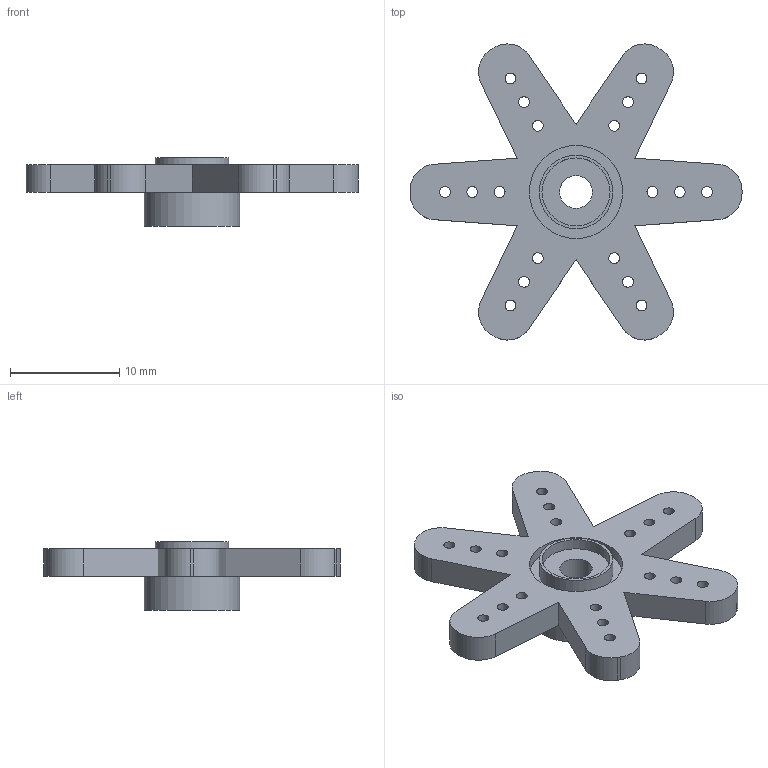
import cadquery as cq
import math


arm_count = 6
arm_pitch = 360 / arm_count
span = 30.4
tip_half_width = 2.375
tip_radius = 2.4
notch_radius = 6.2
plate_thickness = 2.55

hole_diameter = 1.0
first_hole_radius = 7.0
hole_spacing = 2.5
holes_per_arm = 3

total_height = 6.23
boss_diameter = 8.73
boss_height = 3.08
collar_outer_diameter = 6.73
collar_inner_diameter = 6.23
collar_height = total_height - boss_height - plate_thickness
recess_diameter = 8.53
recess_depth = 1.0
collar_floor_depth = 0.43
bore_diameter = 3.0

recess_floor = plate_thickness - recess_depth
collar_floor = plate_thickness - collar_floor_depth
collar_top = plate_thickness + collar_height


def make_arm():
    """One arm along +X: a kite-shaped root at the axis, tapering to a rounded tip."""
    tip_x = span / 2
    half_pitch = math.radians(arm_pitch / 2)
    notch_x = notch_radius * math.cos(half_pitch)
    notch_y = notch_radius * math.sin(half_pitch)
    outline = [
        (0, 0),
        (notch_x, -notch_y),
        (tip_x, -tip_half_width),
        (tip_x, tip_half_width),
        (notch_x, notch_y),
    ]
    arm = cq.Workplane("XY").polyline(outline).close().extrude(plate_thickness)
    tip_corners = cq.selectors.BoxSelector(
        (tip_x - tip_half_width, -notch_radius, -plate_thickness),
        (tip_x + tip_half_width, notch_radius, 2 * plate_thickness),
    )
    return arm.edges("|Z").edges(tip_corners).fillet(tip_radius)


def make_plate():
    """All arms joined around the axis."""
    arm = make_arm()
    plate = arm
    for index in range(1, arm_count):
        plate = plate.union(arm.rotate((0, 0, 0), (0, 0, 1), index * arm_pitch))
    return plate.clean()


def make_arm_holes():
    """Cutters for the row of through holes along every arm."""
    points = [
        (
            (first_hole_radius + row * hole_spacing) * math.cos(math.radians(index * arm_pitch)),
            (first_hole_radius + row * hole_spacing) * math.sin(math.radians(index * arm_pitch)),
        )
        for index in range(arm_count)
        for row in range(holes_per_arm)
    ]
    return cq.Workplane("XY").pushPoints(points).circle(hole_diameter / 2).extrude(plate_thickness)


def cylinder(diameter, bottom, top):
    """A cylinder on the part axis between two heights."""
    return cq.Workplane("XY").workplane(offset=bottom).circle(diameter / 2).extrude(top - bottom)


boss = cylinder(boss_diameter, -boss_height, 0)
recess = cylinder(recess_diameter, recess_floor, plate_thickness)
collar = cylinder(collar_outer_diameter, recess_floor, collar_top)
collar_pocket = cylinder(collar_inner_diameter, collar_floor, collar_top)
bore = cylinder(bore_diameter, -boss_height, collar_floor)

result = make_plate().union(boss).cut(recess).union(collar)
result = result.cut(collar_pocket).cut(bore).cut(make_arm_holes())